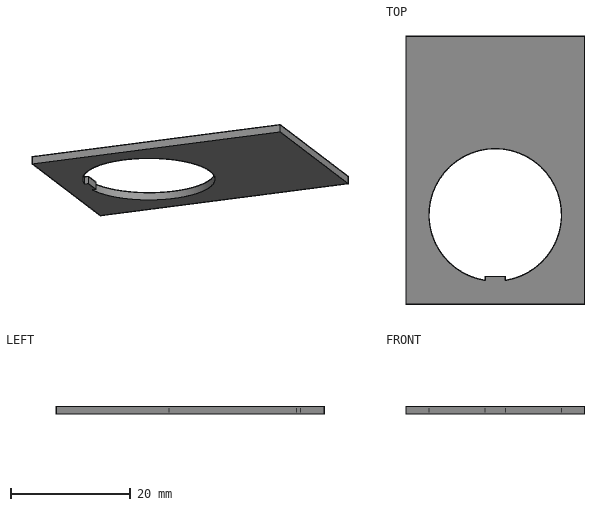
import cadquery as cq

plate_width = 30.0
plate_length = 45.0
plate_thickness = 1.3

hole_diameter = 22.2
hole_to_lower_edge = plate_width / 2

key_width = 3.4
hole_center_to_key = 10.3


def make_plate():
    """Flat plate with its underside on Z = 0 and the hole axis on the origin."""
    center_y = plate_length / 2 - hole_to_lower_edge
    return (
        cq.Workplane("XY")
        .center(0, center_y)
        .rect(plate_width, plate_length)
        .extrude(plate_thickness)
    )


def make_key():
    """Block from the key's flat face down to the lowest point of the hole."""
    key_root = hole_diameter / 2
    key_depth = key_root - hole_center_to_key
    return (
        cq.Workplane("XY")
        .center(0, -(key_root + hole_center_to_key) / 2)
        .rect(key_width, key_depth)
        .extrude(plate_thickness)
    )


def make_hole_cutter():
    """Through-hole volume with the key left standing."""
    disc = cq.Workplane("XY").circle(hole_diameter / 2).extrude(plate_thickness)
    return disc.cut(make_key())


result = make_plate().cut(make_hole_cutter())